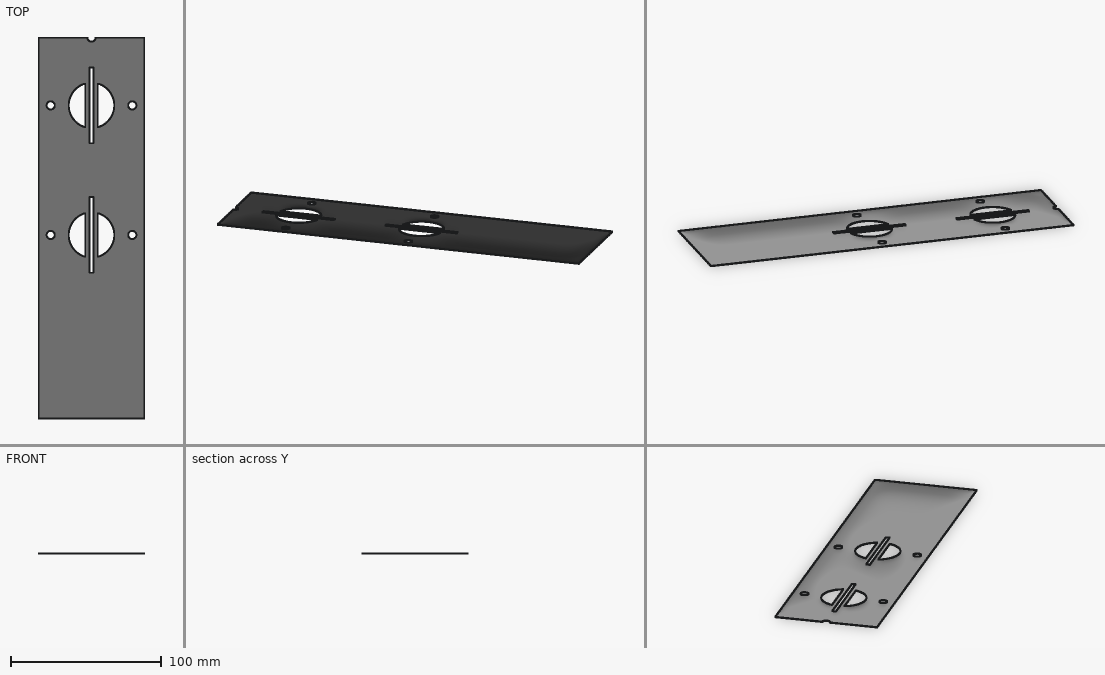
import cadquery as cq

length = 253.0
width = 70.0
thickness = 0.5

notch_diameter = 5.3

first_group_from_end = 45.0
group_spacing = 86.0
group_centres = [
    length / 2 - first_group_from_end,
    length / 2 - first_group_from_end - group_spacing,
]
window_diameter = 30.0
window_bar_width = 8.5
slot_length = 50.0
slot_width = 2.5
screw_hole_diameter = 5.3
screw_hole_spacing = 54.1


def notch_cutter():
    """Round cutter centred on the +Y edge."""
    return cq.Workplane("XY").center(0, length / 2).circle(notch_diameter / 2).extrude(thickness)


def group_cutter(centre_y):
    """Round window split by a bar, a slot along that bar and a screw hole on each side."""
    plane = cq.Workplane("XY").center(0, centre_y)
    bar = plane.rect(window_bar_width, window_diameter).extrude(thickness)
    windows = plane.circle(window_diameter / 2).extrude(thickness).cut(bar)
    slot = plane.rect(slot_width, slot_length).extrude(thickness)
    screw_holes = (
        plane.rarray(screw_hole_spacing, 2.5, 2, 1)
        .circle(screw_hole_diameter / 2)
        .extrude(thickness)
    )
    return windows.union(slot).union(screw_holes)


plate = cq.Workplane("XY").box(width, length, thickness, centered=(True, True, False))
plate = plate.cut(notch_cutter())
for group_centre in group_centres:
    plate = plate.cut(group_cutter(group_centre))

result = plate